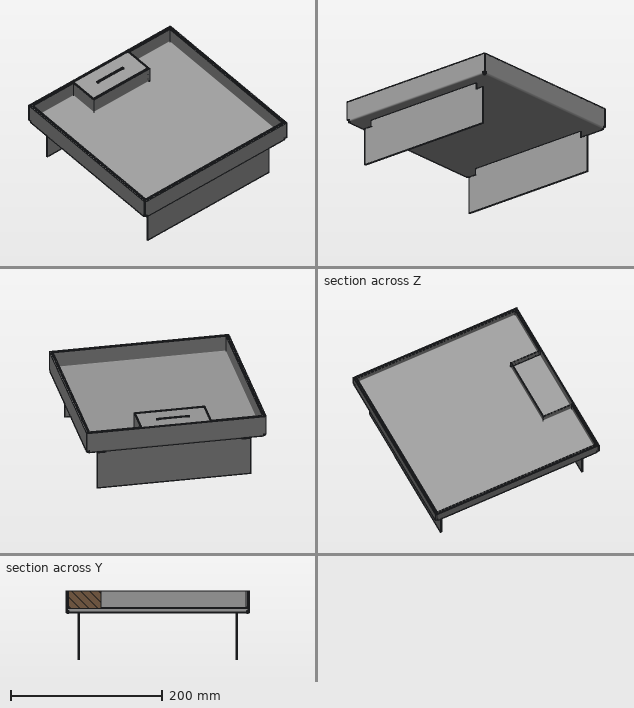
import cadquery as cq
length = 242.8
width = 242.5
total_height = 90.5

tray_height = 29.6
tray_sheet = 2.0
tray_bend = 0.5
corner_relief = 3.6
side_wall_setback = 0.2

liner_clearance = 1.0
liner_sheet = 1.58
liner_bend = 0.5
liner_depth = 21.9

notch_depth = 42.0
notch_width = 92.5

lid_thickness = 3.0
lid_gap = 1.5

grip_length = 44.5
grip_radius = 1.55
grip_end_bend = 4.0
grip_inset = 22.8
grip_drop = 0.7

leg_sheet = 2.0
leg_width = 207.5
leg_tab_width = 184.5
leg_tab_height = 8.7
leg_span = 211.2

tray_bottom = -tray_height
wall_offset = tray_sheet + liner_clearance
liner_length = length - 2 * wall_offset
liner_width = width - 2 * wall_offset
liner_left = -liner_length / 2
liner_floor = -liner_depth
liner_bottom = liner_floor - liner_sheet
notch_end = liner_left + notch_depth
flange_end = notch_end + liner_sheet
flange_width = notch_width + 2 * liner_sheet
grip_x = -length / 2 + grip_inset


def block(x0, x1, y_size, z0, z1):
    """Block between two X planes and two Z planes, centred on Y = 0."""
    return cq.Workplane("XY", origin=(x0, 0, z0)).box(x1 - x0, y_size, z1 - z0, centered=(False, True, False))


def corner_blocks(x_size, y_size, height):
    """Blocks that fill the four vertical corners of the tray, from its bottom up."""
    return (
        cq.Workplane("XY", origin=(0, 0, tray_bottom))
        .rect(length - x_size, width - y_size, forConstruction=True)
        .vertices()
        .rect(x_size, y_size)
        .extrude(height)
    )


def make_tray():
    """Open box with bent bottom edges and a square relief at each bottom corner."""
    outside = block(-length / 2, length / 2, width, tray_bottom, 0)
    outside = outside.faces("<Z").edges().fillet(tray_sheet + tray_bend)
    inner_x = length / 2 - tray_sheet
    inside = block(-inner_x, inner_x, width - 2 * tray_sheet, tray_bottom + tray_sheet, 0)
    inside = inside.faces("<Z").edges().fillet(tray_bend)
    reliefs = corner_blocks(corner_relief, corner_relief, corner_relief)
    setbacks = corner_blocks(tray_sheet, side_wall_setback, tray_height)
    return outside.cut(inside).cut(reliefs).cut(setbacks)


def make_liner():
    """Open tray whose wall turns inward around the notch as a flange."""
    outside = block(liner_left, -liner_left, liner_width, liner_bottom, 0)
    outside = outside.cut(block(liner_left, notch_end, notch_width, liner_bottom, 0))
    outside = outside.faces("<Z").edges().fillet(liner_sheet + liner_bend)
    inner_x = liner_length / 2 - liner_sheet
    inside = block(-inner_x, inner_x, liner_width - 2 * liner_sheet, liner_floor, 0)
    inside = inside.cut(block(liner_left, flange_end, flange_width, liner_floor, 0))
    inside = inside.faces("<Z").edges().fillet(liner_bend)
    return outside.cut(inside)


def make_lid():
    """Plate flush with the rim, with the grip bar sunk in its top."""
    plate = block(liner_left, notch_end - lid_gap, notch_width, -lid_thickness, 0)
    bar_top = -grip_drop
    recess_floor = bar_top - grip_radius
    recess = block(grip_x - grip_radius, grip_x + grip_radius, grip_length, recess_floor, 0)
    bar = (
        cq.Workplane("XZ", origin=(grip_x, grip_length / 2, recess_floor))
        .circle(grip_radius)
        .extrude(grip_length)
    )
    bent_ends = block(
        grip_x - grip_radius,
        grip_x + grip_radius,
        grip_length,
        bar_top - 2 * grip_end_bend,
        bar_top,
    )
    bent_ends = bent_ends.faces(">Z").edges("|X").fillet(grip_end_bend)
    return plate.cut(recess.cut(bar.intersect(bent_ends)))


def make_leg(left_x):
    """Upright plate with a narrower tab under the tray."""
    right_x = left_x + leg_sheet
    shoulder = tray_bottom - leg_tab_height
    tab = block(left_x, right_x, leg_tab_width, shoulder, tray_bottom)
    plate = block(left_x, right_x, leg_width, -total_height, shoulder)
    return tab.union(plate).clean()


tray = make_tray()
liner = make_liner()
lid = make_lid()
legs = [make_leg(left_x) for left_x in (-leg_span / 2, leg_span / 2 - leg_sheet)]

result = cq.Compound.makeCompound([tray.val(), liner.val(), lid.val(), *[leg.val() for leg in legs]])